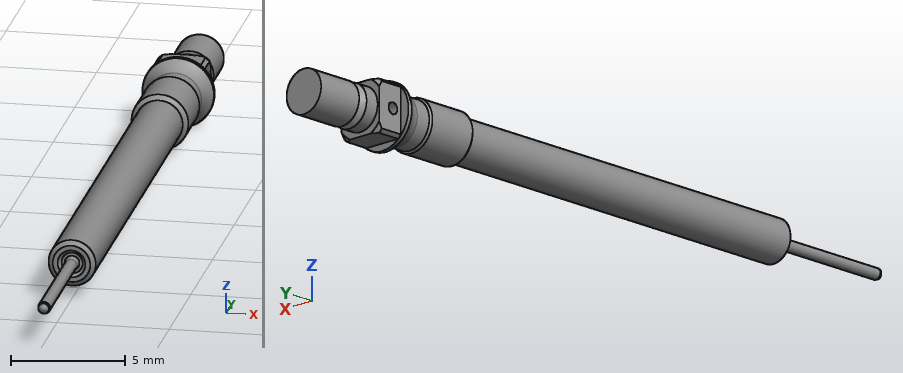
import cadquery as cq

total_length = 36.3

barrel_radius = 1.05
barrel_end = 2.4
neck_radius = 0.73
neck_cone_end = 2.85
collar_end = 3.55

block_end = 4.95
block_radius = 1.58
block_width_x = 2.3
block_width_z = 2.5
block_chamfer = 0.18

hole_station = 4.43
hole_radius = 0.272
hole_depth = 0.55

flange_radius = 1.6
flange_end = 5.15
flare_end = 5.9
flare_bulge = 0.07

relief_radius = 1.18
relief_end = 6.68
sleeve_radius = 1.27
sleeve_end = 9.5
relief_cone_length = 0.1
sleeve_cone_length = 0.18

tube_end = 29.73
tube_chamfer_width = 0.2
tube_chamfer_length = 0.15
recess_mouth_radius = 0.6
recess_floor_radius = 0.47
recess_depth = 0.15

needle_radius = 0.272
needle_root_radius = 0.33
needle_root_end = 29.9
needle_face_radius = 0.235
needle_chamfer_length = 0.1
needle_face = 36.15


def turned_body():
    """Revolve the half outline, given as (radius, Y), about the Y axis."""
    flare_middle = (
        (flange_radius + relief_radius) / 2 - flare_bulge,
        -(flange_end + flare_end) / 2,
    )
    outline = (
        cq.Workplane("XY")
        .lineTo(barrel_radius, 0)
        .lineTo(barrel_radius, -barrel_end)
        .lineTo(neck_radius, -barrel_end)
        .lineTo(barrel_radius, -neck_cone_end)
        .lineTo(barrel_radius, -block_end)
        .lineTo(flange_radius, -block_end)
        .lineTo(flange_radius, -flange_end)
        .threePointArc(flare_middle, (relief_radius, -flare_end))
        .lineTo(relief_radius, -relief_end)
        .lineTo(sleeve_radius, -(relief_end + relief_cone_length))
        .lineTo(sleeve_radius, -(sleeve_end - sleeve_cone_length))
        .lineTo(barrel_radius, -sleeve_end)
        .lineTo(barrel_radius, -(tube_end - tube_chamfer_length))
        .lineTo(barrel_radius - tube_chamfer_width, -tube_end)
        .lineTo(recess_mouth_radius, -tube_end)
        .lineTo(recess_floor_radius, -(tube_end - recess_depth))
        .lineTo(needle_root_radius, -(tube_end - recess_depth))
        .lineTo(needle_radius, -needle_root_end)
        .lineTo(needle_radius, -(needle_face - needle_chamfer_length))
        .lineTo(needle_face_radius, -needle_face)
        .lineTo(0, -total_length)
        .close()
    )
    return outline.revolve(360, (0, 0, 0), (0, 1, 0))


def wrench_block():
    """Round block chamfered at the rear rim, trimmed to its four flats."""
    length = block_end - collar_end
    round_block = (
        cq.Workplane("XZ", origin=(0, -collar_end, 0))
        .circle(block_radius)
        .extrude(length)
        .faces(">Y")
        .chamfer(block_chamfer)
    )
    flats = (
        cq.Workplane("XZ", origin=(0, -collar_end, 0))
        .rect(block_width_x, block_width_z)
        .extrude(length)
    )
    return round_block.intersect(flats)


def cross_hole():
    """Cutter for the hole entering the block from its -X flat."""
    return (
        cq.Workplane("YZ", origin=(-block_width_x / 2, -hole_station, 0))
        .circle(hole_radius)
        .extrude(hole_depth)
    )


result = turned_body().union(wrench_block()).cut(cross_hole())